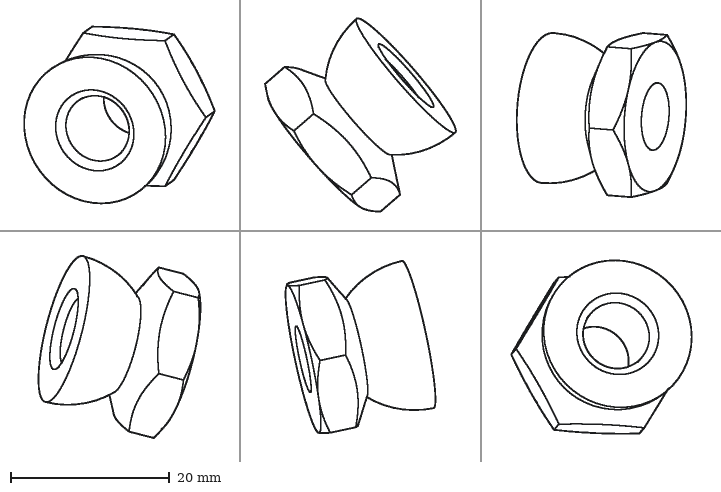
import cadquery as cq
import math

across_corners = 21.95
hex_height = 5.0
bevel_angle = 30.0
dome_height = 8.0
total_height = 14.85
bore_diameter = 8.5
countersink_diameter = 10.5
countersink_angle = 45.0

corner_radius = across_corners / 2
flat_radius = corner_radius * math.cos(math.radians(30))
bevel_slope = math.tan(math.radians(bevel_angle))
neck_height = total_height - dome_height
neck_radius = flat_radius - (neck_height - hex_height) / bevel_slope
bevel_drop = (corner_radius - flat_radius) * bevel_slope
bore_radius = bore_diameter / 2
countersink_radius = countersink_diameter / 2
countersink_depth = (countersink_radius - bore_radius) / math.tan(math.radians(countersink_angle))

dome_inset = flat_radius - neck_radius
dome_arc_radius = (dome_height**2 + dome_inset**2) / (2 * dome_inset)

back_y = total_height / 2
hex_front_y = back_y - hex_height
neck_y = back_y - neck_height
end_y = -total_height / 2


def revolve_about_y(profile):
    """Turn a closed (radius, y) profile around the Y axis."""
    return profile.close().revolve(360, (0, 0, 0), (0, 1, 0))


def hexagon_head():
    """Hexagon with corners on X, cut by a bevel cone on each end."""
    prism = (
        cq.Workplane("XZ", origin=(0, back_y, 0))
        .polygon(6, across_corners)
        .extrude(neck_height)
    )
    bevels = revolve_about_y(
        cq.Workplane("XY")
        .moveTo(0, back_y)
        .lineTo(flat_radius, back_y)
        .lineTo(corner_radius, back_y - bevel_drop)
        .lineTo(corner_radius, hex_front_y + bevel_drop)
        .lineTo(neck_radius, neck_y)
        .lineTo(0, neck_y)
    )
    return prism.intersect(bevels)


def dome():
    """Rounded body that widens from the neck to the end face."""
    return revolve_about_y(
        cq.Workplane("XY")
        .moveTo(0, neck_y)
        .lineTo(neck_radius, neck_y)
        .radiusArc((flat_radius, end_y), dome_arc_radius)
        .lineTo(0, end_y)
    )


def countersunk_bore():
    """Through hole with a countersink in the dome's end face."""
    return revolve_about_y(
        cq.Workplane("XY")
        .moveTo(0, end_y)
        .lineTo(countersink_radius, end_y)
        .lineTo(bore_radius, end_y + countersink_depth)
        .lineTo(bore_radius, back_y)
        .lineTo(0, back_y)
    )


result = hexagon_head().union(dome()).cut(countersunk_bore())